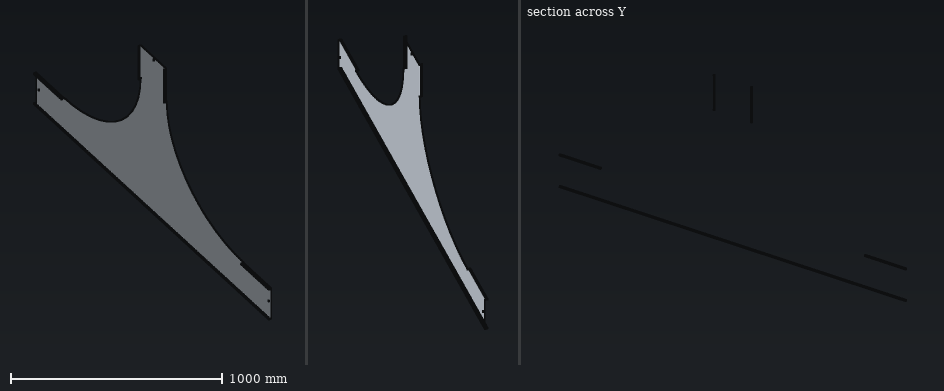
import cadquery as cq
import math

length = 1834.0
height = 1018.0
depth = 15.5
sheet = 1.5

arm_width = 204.0
straight = 216.0
corner_radius = (length - arm_width) / 2 - straight

bend_radius = 4.5
hem_radius = 3.0
hem_return = 6.5

hole_diameter = 7.0
hole_inset = 20.0

half_length = length / 2
half_arm = arm_width / 2
cos_45 = math.cos(math.pi / 4)


def tee_plate():
    """Flat tee with concave quarter-round corners, its back face at Y = depth."""
    arc_end_x = half_arm + corner_radius
    arc_end_z = arm_width + corner_radius
    bulge = corner_radius * (1 - cos_45)
    mid_x = half_arm + bulge
    mid_z = arm_width + bulge
    outline = (
        cq.Workplane("XZ", origin=(0, depth, 0))
        .moveTo(-half_length, 0)
        .lineTo(half_length, 0)
        .lineTo(half_length, arm_width)
        .lineTo(arc_end_x, arm_width)
        .threePointArc((mid_x, mid_z), (half_arm, arc_end_z))
        .lineTo(half_arm, height)
        .lineTo(-half_arm, height)
        .lineTo(-half_arm, arc_end_z)
        .threePointArc((-mid_x, mid_z), (-arc_end_x, arm_width))
        .lineTo(-half_length, arm_width)
        .close()
    )
    return outline.extrude(sheet)


def folded_edge(run):
    """Bend, flange and hem along +X, with the flange's outer face on Z = 0."""
    inner_bend = bend_radius - sheet
    bend_y = depth - bend_radius
    hem_width = 2 * hem_radius
    bend_outer = bend_radius * cos_45
    bend_inner = inner_bend * cos_45
    profile = (
        cq.Workplane("YZ")
        .moveTo(depth, bend_radius)
        .threePointArc((bend_y + bend_outer, bend_radius - bend_outer), (bend_y, 0))
        .lineTo(hem_radius, 0)
        .threePointArc((0, hem_radius), (hem_radius, hem_width))
        .lineTo(hem_return, hem_width)
        .lineTo(hem_return, hem_width - sheet)
        .lineTo(hem_radius, hem_width - sheet)
        .threePointArc((sheet, hem_radius), (hem_radius, sheet))
        .lineTo(bend_y, sheet)
        .threePointArc((bend_y + bend_inner, bend_radius - bend_inner), (depth - sheet, bend_radius))
        .close()
    )
    return profile.extrude(run)


def plate_margin(run):
    """Strip of flat plate that the bend replaces."""
    return cq.Workplane("XY").box(run, depth, bend_radius, centered=False)


def fold(plate, run, angle, x, z):
    """Replace a plate margin by a folded edge starting at (x, z), turned by angle about Y."""
    def place(body):
        return body.rotate((0, 0, 0), (0, 1, 0), angle).translate((x, 0, z))

    return plate.cut(place(plate_margin(run))).union(place(folded_edge(run)))


def fixing_holes():
    """One hole on the centre line of each arm, near its end."""
    places = [
        (-half_length + hole_inset, half_arm),
        (half_length - hole_inset, half_arm),
        (0, height - hole_inset),
    ]
    return (
        cq.Workplane("XZ", origin=(0, depth, 0))
        .pushPoints(places)
        .circle(hole_diameter / 2)
        .extrude(sheet)
    )


arm_start = half_length - straight
folds = [
    (length, 0, -half_length, 0),
    (straight, 180, half_length, arm_width),
    (straight, 180, -arm_start, arm_width),
    (straight, -90, half_arm, height - straight),
    (straight, 90, -half_arm, height),
]

result = tee_plate().cut(fixing_holes())
for run, angle, x, z in folds:
    result = fold(result, run, angle, x, z)